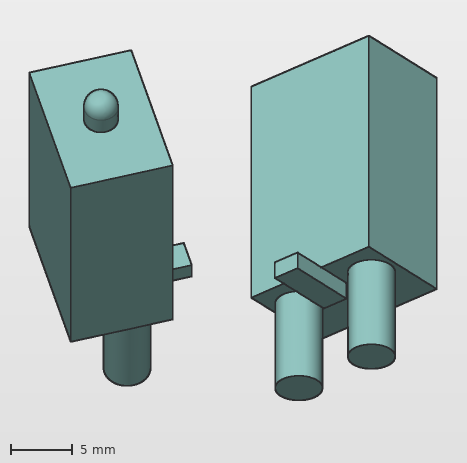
import cadquery as cq

total_height = 31.0

block_width = 12.4
block_depth = 8.6
block_height = 20.0

pin_diameter = 3.85
pin_length = 8.0
pin_spacing = 7.65
pin_offset_y = 1.12

tab_width = 2.4
tab_thickness = 1.5
tab_overhang = 3.0

lamp_diameter = 2.8
lamp_height = total_height - block_height - pin_length


def make_block():
    return cq.Workplane("XY").box(
        block_width, block_depth, block_height, centered=(True, True, False)
    )


def make_pins():
    return (
        cq.Workplane("XY")
        .pushPoints([(side * pin_spacing / 2, pin_offset_y) for side in (-1, 1)])
        .circle(pin_diameter / 2)
        .extrude(-pin_length)
    )


def make_tab():
    tab_length = block_depth / 2 + tab_overhang - pin_offset_y
    return (
        cq.Workplane("XY")
        .box(tab_width, tab_length, tab_thickness, centered=(True, False, False))
        .translate((0, pin_offset_y, -tab_thickness))
    )


def make_housing():
    return make_block().union(make_pins()).union(make_tab())


def make_lamp():
    radius = lamp_diameter / 2
    dome_base = lamp_height - radius
    return (
        cq.Workplane("XZ", origin=(0, 0, block_height))
        .lineTo(radius, 0)
        .lineTo(radius, dome_base)
        .radiusArc((0, lamp_height), -radius)
        .close()
        .revolve(360, (0, 0), (0, 1))
    )


housing = make_housing()
lamp = make_lamp()

result = cq.Compound.makeCompound([housing.val(), lamp.val()])